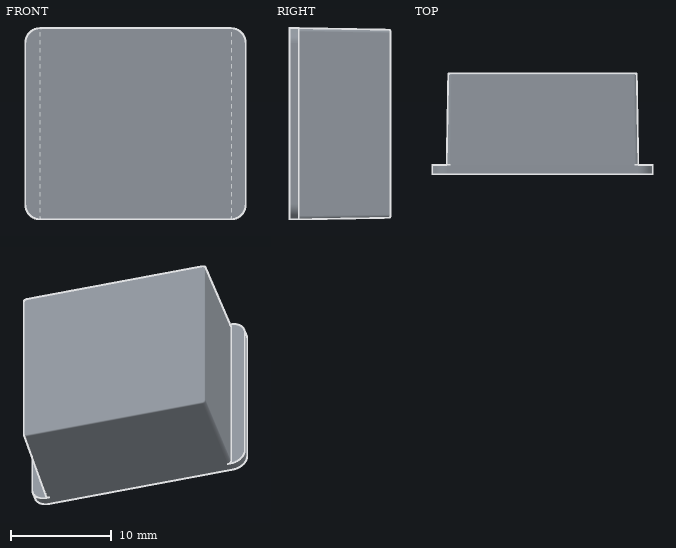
import cadquery as cq
import math

flange_width = 21.9
flange_height = 19.0
flange_thickness = 0.92
flange_corner_radius = 1.5

total_depth = 10.03
body_depth = total_depth - flange_thickness
body_base_width = 19.05
body_base_height = flange_height
body_corner_radius = 0.33
back_edge_radius = 0.18
draft_angle = 1.0


def make_flange():
    plate = cq.Workplane("XY").box(
        flange_width, flange_thickness, flange_height, centered=(True, False, True)
    )
    return plate.edges("|Y").fillet(flange_corner_radius)


def make_body():
    draft_inset = body_depth * math.tan(math.radians(draft_angle))
    back_width = body_base_width - 2 * draft_inset
    back_height = body_base_height - 2 * draft_inset
    block = (
        cq.Workplane("XZ", origin=(0, flange_thickness, 0))
        .rect(body_base_width, body_base_height)
        .workplane(offset=-body_depth)
        .rect(back_width, back_height)
        .loft(ruled=True)
    )
    block = block.edges("not(#Y)").fillet(body_corner_radius)
    return block.faces(">Y").edges().fillet(back_edge_radius)


result = make_flange().union(make_body())